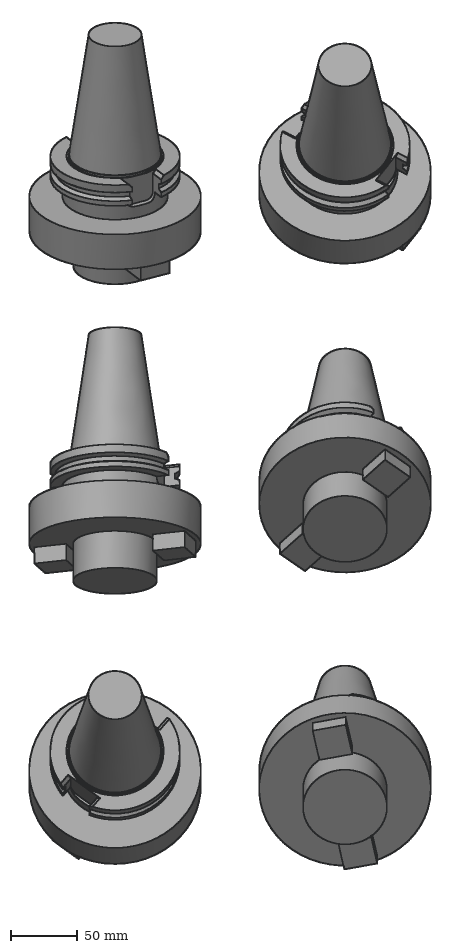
import cadquery as cq

total_height = 195.6
collar_bottom = 29.3
collar_top = 58.9
flange_bottom = 75.1
flange_top = 92.7
gauge_height = 94.0
relief_top = 93.5

pilot_diameter = 63.5
collar_diameter = 130.0
neck_diameter = 80.0
flange_diameter = 98.2
gauge_diameter = 69.8
relief_diameter = 69.2
taper_ratio = 7 / 24
tip_diameter = gauge_diameter - taper_ratio * (total_height - gauge_height)

groove_diameter = 91.0
groove_height = 82.7
groove_floor_width = 3.7
groove_flank_width = 1.8

recess_outer_diameter = 73.7
recess_floor_diameter = 71.4
recess_depth = 1.0

slot_width = 25.5
slot_bottom = 68.7
slot_corner_radius = 6.0
slot_chamfer = 2.7
left_slot_floor = 37.5
right_slot_floor = 35.0

key_size = 25.5
key_height = 13.0
key_center = 47.5


def turned_body():
    """Revolve the complete half profile about Z."""
    flank_start = groove_height - groove_floor_width / 2 - groove_flank_width
    flank_end = groove_height + groove_floor_width / 2 + groove_flank_width
    diameters_and_heights = [
        (pilot_diameter, 0),
        (pilot_diameter, collar_bottom),
        (collar_diameter, collar_bottom),
        (collar_diameter, collar_top),
        (neck_diameter, collar_top),
        (neck_diameter, flange_bottom),
        (flange_diameter, flange_bottom),
        (flange_diameter, flank_start),
        (groove_diameter, flank_start + groove_flank_width),
        (groove_diameter, flank_end - groove_flank_width),
        (flange_diameter, flank_end),
        (flange_diameter, flange_top),
        (recess_outer_diameter, flange_top),
        (recess_floor_diameter, flange_top - recess_depth),
        (relief_diameter, flange_top - recess_depth),
        (relief_diameter, relief_top),
        (gauge_diameter, gauge_height),
        (tip_diameter, total_height),
    ]
    points = [(diameter / 2, height) for diameter, height in diameters_and_heights]
    profile = cq.Workplane("XZ").polyline([(0, 0)] + points + [(0, total_height)]).close()
    return profile.revolve(360, (0, 0, 0), (0, 1, 0))


def slot_cutter(side, floor_distance):
    """Open-topped slot with rounded lower corners; side is -1 or +1 along X."""
    half_width = slot_width / 2
    chamfer_start = flange_top - slot_chamfer
    slot_length = flange_diameter / 2 - floor_distance
    middle = floor_distance + slot_length / 2
    slot_height = flange_top - slot_bottom
    slot = (
        cq.Workplane("XY")
        .box(slot_length, slot_width, slot_height, centered=(True, True, False))
        .edges("|X and <Z")
        .fillet(slot_corner_radius)
        .translate((side * middle, 0, slot_bottom))
    )
    mouth = (
        cq.Workplane("YZ")
        .polyline([
            (-half_width, chamfer_start),
            (half_width, chamfer_start),
            (half_width + slot_chamfer, flange_top),
            (-half_width - slot_chamfer, flange_top),
        ])
        .close()
        .extrude(slot_length / 2, both=True)
        .translate((side * middle, 0, 0))
    )
    return slot.union(mouth)


def drive_keys():
    """Two square keys hanging from the underside of the collar."""
    return (
        cq.Workplane("XY", origin=(0, 0, collar_bottom))
        .pushPoints([(-key_center, 0), (key_center, 0)])
        .rect(key_size, key_size)
        .extrude(-key_height)
    )


result = turned_body().union(drive_keys())
for side, floor_distance in [(-1, left_slot_floor), (1, right_slot_floor)]:
    result = result.cut(slot_cutter(side, floor_distance))